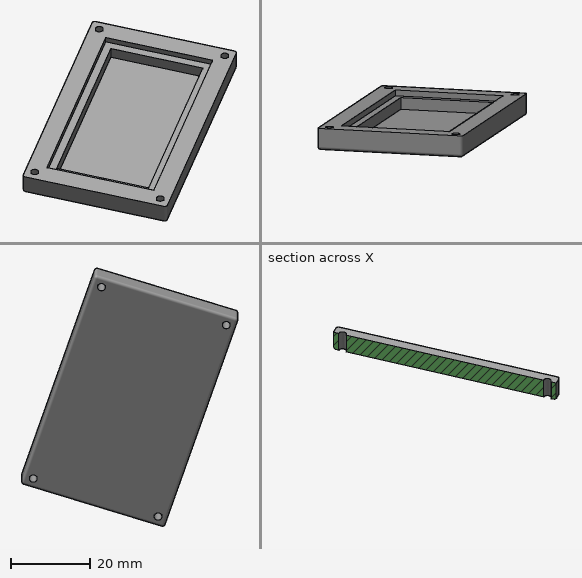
import cadquery as cq

width = 37.95
length = 59.8
height = 5.5
edge_radius = 0.7

rim_width = 4.9
ledge_width = 2.0
ledge_depth = 1.5
floor_depth = 4.5

hole_diameter = 2.0
hole_inset = 2.45

recess_width = width - 2 * rim_width
recess_length = length - 2 * rim_width
cavity_width = recess_width - 2 * ledge_width
cavity_length = recess_length - 2 * ledge_width


def make_body():
    """Plate with rounded vertical corners and a rounded bottom edge."""
    block = cq.Workplane("XY").box(width, length, height, centered=(True, True, False))
    return block.edges("|Z").fillet(edge_radius).faces("<Z").edges().fillet(edge_radius)


def cut_pocket(body, pocket_width, pocket_length, depth):
    """Sink a centred rectangular pocket to a depth below the top face."""
    pocket = (
        cq.Workplane("XY")
        .workplane(offset=height - depth)
        .rect(pocket_width, pocket_length)
        .extrude(depth)
    )
    return body.cut(pocket)


def cut_corner_holes(body):
    """Drill a through hole near each corner."""
    holes = (
        cq.Workplane("XY")
        .rect(width - 2 * hole_inset, length - 2 * hole_inset, forConstruction=True)
        .vertices()
        .circle(hole_diameter / 2)
        .extrude(height)
    )
    return body.cut(holes)


result = make_body()
result = cut_pocket(result, recess_width, recess_length, ledge_depth)
result = cut_pocket(result, cavity_width, cavity_length, floor_depth)
result = cut_corner_holes(result)